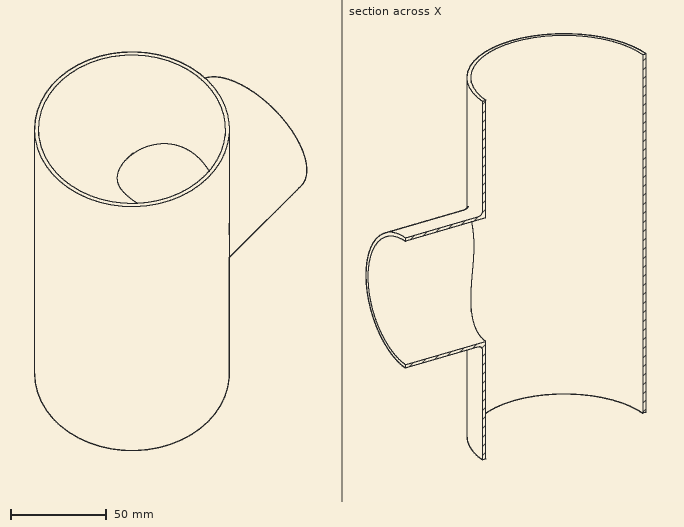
import cadquery as cq

run_length = 209.5
run_diameter = 101.7
branch_diameter = 76.3
branch_reach = 98.5
wall = 2.0
weld_radius = 2.5


def run_cylinder(diameter):
    """Solid cylinder along Z, centred on the origin."""
    return cq.Workplane("XY").circle(diameter / 2).extrude(run_length / 2, both=True)


def branch_cylinder(diameter):
    """Solid cylinder from the run axis out to the branch end at +Y."""
    return cq.Workplane("XZ").circle(diameter / 2).extrude(-branch_reach)


body = run_cylinder(run_diameter).union(branch_cylinder(branch_diameter))
joint_box = cq.selectors.BoxSelector(
    (-run_diameter, 0, -branch_diameter),
    (run_diameter, run_diameter / 2 + wall, branch_diameter),
)
saddle_edges = body.edges("not %LINE").edges(joint_box)
body = body.newObject(saddle_edges.vals()).fillet(weld_radius)

bore = run_cylinder(run_diameter - 2 * wall)
branch_bore = branch_cylinder(branch_diameter - 2 * wall)
result = body.cut(bore).cut(branch_bore)